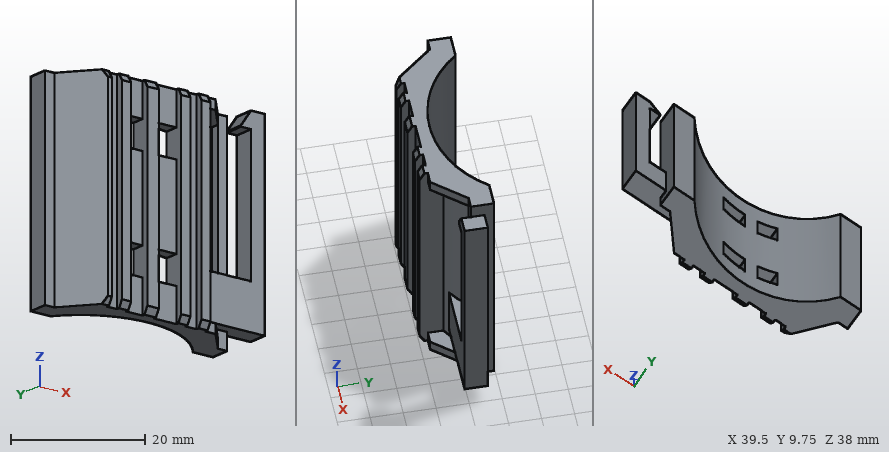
import cadquery as cq
import math

body_width = 34.0
body_height = 37.0
body_depth = 9.75
flange_depth = 3.5
flange_ledge = 1.75
rib_height = 1.22
tip_inset = 7.05
center_x = body_width / 2
base_depth = body_depth - rib_height
side_run_per_depth = (tip_inset - flange_ledge) / (body_depth - flange_depth)
base_inset = flange_ledge + side_run_per_depth * (base_depth - flange_depth)

seat_half_chord = 13.27
seat_sag = 6.5
seat_radius = (seat_half_chord**2 + seat_sag**2) / (2 * seat_sag)
seat_center_y = seat_radius - seat_sag

first_rib_end = 7.75
rib_spans = [(9.65, 11.35), (14.38, 16.5), (20.7, 22.4), (24.5, 26.15)]
rib_chamfer_depth = 0.7
rib_chamfer_height = 1.22

window_height = 5.05
window_end_distance = 6.0

relief_end_margin = 1.7
seat_wall = 2.0
relief_radius = seat_radius + seat_wall
relief_start_x = rib_spans[-1][1]
relief_end_x = body_width - flange_ledge

clip_back = 2.0
clip_thickness = 3.5
clip_front = clip_back + clip_thickness
clip_bottom = 3.0
clip_foot_top = 11.05
clip_right = 39.5
clip_top = 38.0
arm_width = 2.55
hook_reach = 1.9
hook_height = 2.95
hook_lip = 0.2
arm_left = clip_right - arm_width
clip_left = center_x + math.sqrt(relief_radius**2 - (clip_front + seat_center_y) ** 2)


def block(x_start, x_end, depth_start, depth_end, z_start, z_end):
    """Box between two x, two depths behind the back face (toward -Y) and two z."""
    return cq.Workplane("XY").box(
        x_end - x_start, depth_end - depth_start, z_end - z_start, centered=False
    ).translate((x_start, -depth_end, z_start))


def seat_cylinder(radius):
    return cq.Workplane("XY").center(center_x, seat_center_y).circle(radius).extrude(body_height)


def make_base():
    outline = [
        (0, 0),
        (0, -flange_depth),
        (flange_ledge, -flange_depth),
        (base_inset, -base_depth),
        (body_width - base_inset, -base_depth),
        (body_width - flange_ledge, -flange_depth),
        (body_width, -flange_depth),
        (body_width, 0),
    ]
    return cq.Workplane("XY").polyline(outline).close().extrude(body_height)


def make_ribs():
    first_rib = [
        (base_inset, -base_depth),
        (tip_inset, -body_depth),
        (first_rib_end, -body_depth),
        (first_rib_end, -base_depth),
    ]
    ribs = cq.Workplane("XY").polyline(first_rib).close().extrude(body_height)
    for x_start, x_end in rib_spans:
        ribs = ribs.union(block(x_start, x_end, base_depth, body_depth, 0, body_height))
    chamfer_start = body_depth - rib_chamfer_depth
    bevelled_profile = [
        (0, 0),
        (-chamfer_start, 0),
        (-body_depth, rib_chamfer_height),
        (-body_depth, body_height - rib_chamfer_height),
        (-chamfer_start, body_height),
        (0, body_height),
    ]
    return ribs.intersect(cq.Workplane("YZ").polyline(bevelled_profile).close().extrude(body_width))


def make_windows():
    windows = cq.Workplane("XY")
    upper_start = body_height - window_end_distance - window_height
    for left_rib, right_rib in zip(rib_spans[:2], rib_spans[1:3]):
        for z_start in (window_end_distance, upper_start):
            windows = windows.add(
                block(left_rib[1], right_rib[0], 0, body_depth, z_start, z_start + window_height)
            )
    return windows.combine()


def make_relief():
    """Curved pocket, level with the flange below the clip and deeper above it."""
    relief_top = body_height - relief_end_margin
    lower = block(relief_start_x, relief_end_x, flange_depth, body_depth, relief_end_margin, relief_top)
    upper = block(relief_start_x, relief_end_x, clip_back, body_depth, clip_bottom, relief_top)
    return lower.union(upper).cut(seat_cylinder(relief_radius))


def make_clip():
    hook_bottom = clip_top - hook_height
    outline = [
        (clip_left, clip_bottom),
        (clip_right, clip_bottom),
        (clip_right, clip_top),
        (arm_left, clip_top),
        (arm_left - hook_reach, hook_bottom + hook_lip),
        (arm_left - hook_reach, hook_bottom),
        (arm_left, hook_bottom),
        (arm_left, clip_foot_top),
        (clip_left, clip_foot_top),
    ]
    clip = cq.Workplane("XZ", origin=(0, -clip_back, 0)).polyline(outline).close()
    return clip.extrude(clip_thickness)


saddle = make_base().union(make_ribs()).cut(make_relief()).union(make_clip())
result = saddle.cut(seat_cylinder(seat_radius)).cut(make_windows())